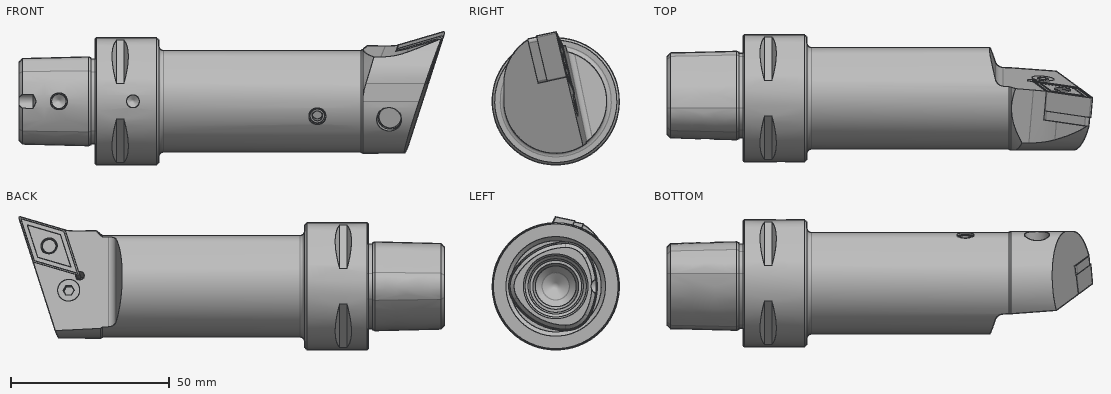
import cadquery as cq
import math


OVERALL_LENGTH = 134

SHANK_LENGTH = 24.0
FLAT_REACH = 13.1
LOBE_REACH = 14.9
FLAT_CENTRE_OFFSET = 6.7
LOBE_COUNT = 3
TAPER_RATIO = 1 / 20
SHANK_TAPER = math.degrees(math.atan(TAPER_RATIO / 2))
SHANK_END_CHAMFER = 1.2
NECK_LENGTH = 1.3
NECK_INSET = 0.7
NECK_CHAMFER_LENGTH = 0.7
END_NOTCH_RADIUS = 2.4
END_NOTCH_OFFSET = 13.5
END_NOTCH_LENGTH = 4.4
SHANK_HOLE_X = -11.4
SHANK_HOLE_RADIUS = 2.3
SHANK_HOLE_FLOOR = 11.5
SHANK_HOLE_RIM_RADIUS = 2.7
SHANK_HOLE_RIM_FLOOR = 12.7

MOUTH_RADIUS = 10.2
BORE_RADIUS = 9.6
STEP_RADIUS = 8.7
LEDGE_OUTER_RADIUS = 8.2
INNER_BORE_RADIUS = 7.2
END_CONE_RADIUS = 6.4
END_TIP_RADIUS = 4.3
INNER_CONE_LENGTH = 2.0
BORE_DEPTH = 4.0
STEP_DEPTH = 7.1
INNER_BORE_DEPTH = 24.0

FLANGE_RADIUS = 40.0 / 2
FLANGE_LENGTH = 20.1
FLANGE_FRONT_CHAMFER = 0.4
FLANGE_BACK_CHAMFER = 0.8
FACE_RECESS_RADIUS = 15.7
FACE_RECESS_DEPTH = 1.3
GRIP_GROOVE_X = 7.9
GRIP_GROOVE_FLOOR = 2.3
GRIP_GROOVE_DISTANCE = 17.5
GRIP_GROOVE_COUNT = 4
GRIP_WALL_ANGLE = 30
FLANGE_HOLE_X = 11.9
FLANGE_HOLE_RADIUS = 2.0
FLANGE_HOLE_DEPTH = 4.0

BAR_RADIUS = 32.0 / 2
BAR_FILLET = 1.5
HEAD_START = 84.3
HEAD_RADIUS = 16.3
HEAD_FLAT_HEIGHT = 5.6
COLLAR_LENGTH = 0.7
COLLAR_START = HEAD_START - COLLAR_LENGTH

NOSE_LOSS = 0.21
REACH = OVERALL_LENGTH - SHANK_LENGTH + NOSE_LOSS
TIP_HEIGHT = 22.1
RAKE_BACK = 0.085
RAKE_SIDE = 0.21
RAKE_START = 28.5
RAKE_RUNOUT = 2.7
RUNOUT_LEAN = 20
TOP_FLAT_DROP = 5.1
TOP_BLEND_RADIUS = 26.8
TOP_CLEARANCE = 0.4
END_RELIEF_ANGLE = 2

LEAD_ANGLE = 17.5
POINT_ANGLE = 55
EDGE_LENGTH = 15.5
NOSE_RADIUS = 0.4
INSERT_THICKNESS = 6.3
INSERT_HOLE_RADIUS = 2.5
BREAKER_LAND = 0.5
BREAKER_WIDTH = 1.3
BREAKER_DEPTH = 0.3
SHIM_THICKNESS = 3.0
SHIM_CORNER = 1.1
POCKET_RELIEF_RADIUS = 1.3

LOCK_PIN_RADIUS = 2.1
LOCK_PIN_SINK = 0.4
LOCK_PIN_LENGTH = 12.7
SCREW_X = -16.0
SCREW_Y = -24.1
SCREW_RADIUS = 3.5
SCREW_HOLE_RADIUS = 3.9
SCREW_LENGTH = 18.2
SCREW_SOCKET = 3.5
SCREW_SOCKET_DEPTH = 2.0
PLUG_X = 70.0
PLUG_ANGLE = 17.5
PLUG_RADIUS = 2.3
PLUG_RIM_RADIUS = 2.7
PLUG_INNER_END = 8.0
PLUG_OUTER_END = 15.3
PLUG_SOCKET_RADIUS = 1.6
PLUG_SOCKET_DEPTH = 2.0

DRILL_POINT_ANGLE = 118
DRILL_POINT_SLOPE = 1 / math.tan(math.radians(DRILL_POINT_ANGLE / 2))
OVERLAP = 1.3
FAR = 80.4

rake_length = math.hypot(RAKE_BACK, 1, RAKE_SIDE)
into_head = cq.Vector(-RAKE_BACK, -1, -RAKE_SIDE) / rake_length
along_rake = cq.Vector(1, 0, 0) - into_head * into_head.x
CUTTING_FRAME = cq.Plane((REACH, 0, TIP_HEIGHT), along_rake, into_head)


def polar(radius, degrees):
    angle = math.radians(degrees)
    return cq.Vector(radius * math.cos(angle), radius * math.sin(angle))


def revolved(points):
    """Solid of revolution about the bar axis from (X, radius) points."""
    return cq.Workplane("XZ").polyline(points).close().revolve(360, (0, 0, 0), (1, 0, 0))


def drilled_tool(plane, radius, depth):
    """Drill shape: a cylinder from the plane along its normal, with a conical point."""
    point = radius * DRILL_POINT_SLOPE
    outline = [(0, 0), (radius, 0), (radius, depth), (0, depth + point)]
    profile = cq.Workplane("XY").polyline(outline).close().revolve(360, (0, 0, 0), (0, 1, 0))
    upright = profile.rotate((0, 0, 0), (1, 0, 0), 90)
    return cq.Workplane(upright.val().located(plane.location))


def lobed_section(x, inset):
    """Rounded triangle across the axis at x, with one flat facing -Y."""
    pitch = 360 / LOBE_COUNT
    bulge = LOBE_REACH - FLAT_REACH
    lobe_centre = bulge * (2 * FLAT_CENTRE_OFFSET - bulge) / (FLAT_CENTRE_OFFSET - 2 * bulge)
    flat_radius = FLAT_REACH + FLAT_CENTRE_OFFSET - inset
    flat_centre = cq.Vector(-FLAT_CENTRE_OFFSET, 0)
    joint = flat_centre + (polar(lobe_centre, pitch / 2) - flat_centre).normalized() * flat_radius
    joint_angle = math.degrees(math.atan2(joint.y, joint.x))
    plane = cq.Plane((x, 0, 0), (0, -1, 0), (-1, 0, 0))
    section = cq.Workplane(plane).moveTo(joint.x, -joint.y)
    for number in range(LOBE_COUNT):
        turn = number * pitch
        section = section.threePointArc(
            polar(FLAT_REACH - inset, turn).toTuple()[:2],
            polar(joint.Length, turn + joint_angle).toTuple()[:2],
        )
        section = section.threePointArc(
            polar(LOBE_REACH - inset, turn + pitch / 2).toTuple()[:2],
            polar(joint.Length, turn + pitch - joint_angle).toTuple()[:2],
        )
    return section.close()


def make_shank():
    taper_length = SHANK_LENGTH - NECK_LENGTH
    taper = lobed_section(-NECK_LENGTH, 0).extrude(taper_length, taper=SHANK_TAPER)
    taper = taper.faces("<X").chamfer(SHANK_END_CHAMFER)
    taper = taper.faces(">X").chamfer(NECK_CHAMFER_LENGTH, NECK_INSET / 2)
    neck_length = FACE_RECESS_DEPTH + NECK_LENGTH + OVERLAP
    neck = lobed_section(FACE_RECESS_DEPTH, NECK_INSET).extrude(neck_length)
    return taper.union(neck)


def cut_shank_details(body):
    ledge_x = -SHANK_LENGTH + STEP_DEPTH
    inner_end = -SHANK_LENGTH + INNER_BORE_DEPTH
    cone_start = inner_end + INNER_CONE_LENGTH
    mouth_chamfer = MOUTH_RADIUS - BORE_RADIUS
    tip_start = cone_start + END_CONE_RADIUS - END_TIP_RADIUS
    bore = revolved([
        (-SHANK_LENGTH, 0),
        (-SHANK_LENGTH, MOUTH_RADIUS),
        (-SHANK_LENGTH + mouth_chamfer, BORE_RADIUS),
        (-SHANK_LENGTH + BORE_DEPTH, BORE_RADIUS),
        (-SHANK_LENGTH + BORE_DEPTH + BORE_RADIUS - STEP_RADIUS, STEP_RADIUS),
        (ledge_x - (STEP_RADIUS - LEDGE_OUTER_RADIUS), STEP_RADIUS),
        (ledge_x, LEDGE_OUTER_RADIUS),
        (ledge_x, INNER_BORE_RADIUS),
        (inner_end, INNER_BORE_RADIUS),
        (cone_start, END_CONE_RADIUS),
        (tip_start, END_TIP_RADIUS),
        (tip_start + END_TIP_RADIUS * DRILL_POINT_SLOPE, 0),
    ])
    notch_plane = cq.Plane((-SHANK_LENGTH, -END_NOTCH_OFFSET, 0), (0, 0, 1), (1, 0, 0))
    notch = drilled_tool(notch_plane, END_NOTCH_RADIUS, END_NOTCH_LENGTH)
    hole_plane = cq.Plane((SHANK_HOLE_X, -LOBE_REACH, 0), (0, 0, 1), (0, 1, 0))
    hole = drilled_tool(hole_plane, SHANK_HOLE_RADIUS, LOBE_REACH - SHANK_HOLE_FLOOR)
    rim = drilled_tool(hole_plane, SHANK_HOLE_RIM_RADIUS, LOBE_REACH - SHANK_HOLE_RIM_FLOOR)
    return body.cut(bore).cut(notch).cut(hole).cut(rim)


def make_flange():
    flange = revolved([
        (0, 0),
        (0, FLANGE_RADIUS - FLANGE_FRONT_CHAMFER),
        (FLANGE_FRONT_CHAMFER, FLANGE_RADIUS),
        (FLANGE_LENGTH - FLANGE_BACK_CHAMFER, FLANGE_RADIUS),
        (FLANGE_LENGTH, FLANGE_RADIUS - FLANGE_BACK_CHAMFER),
        (FLANGE_LENGTH, 0),
    ])
    recess = revolved([
        (0, 0),
        (0, FACE_RECESS_RADIUS),
        (FACE_RECESS_DEPTH, FACE_RECESS_RADIUS - FACE_RECESS_DEPTH),
        (FACE_RECESS_DEPTH, 0),
    ])
    flange = flange.cut(recess)
    rise = FLANGE_RADIUS - GRIP_GROOVE_DISTANCE + OVERLAP
    floor_half = GRIP_GROOVE_FLOOR / 2
    top_half = floor_half + rise * math.tan(math.radians(GRIP_WALL_ANGLE))
    groove = (
        cq.Workplane("XZ")
        .polyline([
            (GRIP_GROOVE_X - floor_half, GRIP_GROOVE_DISTANCE),
            (GRIP_GROOVE_X + floor_half, GRIP_GROOVE_DISTANCE),
            (GRIP_GROOVE_X + top_half, GRIP_GROOVE_DISTANCE + rise),
            (GRIP_GROOVE_X - top_half, GRIP_GROOVE_DISTANCE + rise),
        ])
        .close()
        .extrude(FLANGE_RADIUS, both=True)
    )
    for number in range(GRIP_GROOVE_COUNT):
        turn = (number + 0.5) * 360 / GRIP_GROOVE_COUNT
        flange = flange.cut(groove.rotate((0, 0, 0), (1, 0, 0), turn))
    hole_plane = cq.Plane((FLANGE_HOLE_X, -FLANGE_RADIUS, 0), (0, 0, 1), (0, 1, 0))
    return flange.cut(drilled_tool(hole_plane, FLANGE_HOLE_RADIUS, FLANGE_HOLE_DEPTH))


def make_bar():
    return (
        cq.Workplane("XZ")
        .moveTo(FLANGE_LENGTH, 0)
        .lineTo(FLANGE_LENGTH, BAR_RADIUS + BAR_FILLET)
        .radiusArc((FLANGE_LENGTH + BAR_FILLET, BAR_RADIUS), -BAR_FILLET)
        .lineTo(HEAD_START, BAR_RADIUS)
        .lineTo(HEAD_START, 0)
        .close()
        .revolve(360, (0, 0, 0), (1, 0, 0))
    )


def head_side_profile():
    """Side outline of the head in the cutting frame: flat top, blend, rising edge, end face."""
    edge = polar(1, LEAD_ANGLE)
    end = polar(FAR, LEAD_ANGLE + POINT_ANGLE)
    start = cq.Vector(0, -TOP_CLEARANCE / math.cos(math.radians(LEAD_ANGLE)))
    corner = start + edge * ((-TOP_FLAT_DROP - start.y) / edge.y)
    tangent = TOP_BLEND_RADIUS * math.tan(math.radians(LEAD_ANGLE / 2))
    blend_start = corner - cq.Vector(tangent, 0)
    blend_end = corner + edge * tangent
    nose = end * (TOP_CLEARANCE / math.sin(math.radians(POINT_ANGLE)) / FAR)
    return (
        cq.Workplane(CUTTING_FRAME)
        .moveTo(-FAR, -TOP_FLAT_DROP)
        .lineTo(blend_start.x, blend_start.y)
        .radiusArc((blend_end.x, blend_end.y), -TOP_BLEND_RADIUS)
        .lineTo(-nose.x, -nose.y)
        .lineTo(-end.x, -end.y)
        .lineTo(-FAR, -end.y)
        .close()
    )


def end_relief():
    """Wedge in front of the relieved end face, with its edge on the rake face."""
    end = polar(1, LEAD_ANGLE + POINT_ANGLE)
    along_end = CUTTING_FRAME.xDir * end.x + CUTTING_FRAME.yDir * end.y
    outward = CUTTING_FRAME.zDir.cross(along_end) * -1
    wedge_plane = cq.Plane(CUTTING_FRAME.origin, outward, along_end)
    lean = FAR * math.tan(math.radians(END_RELIEF_ANGLE))
    inward_sign = math.copysign(1, wedge_plane.yDir.dot(CUTTING_FRAME.zDir))
    outline = [(0, 0), (-lean, inward_sign * FAR), (FAR, inward_sign * FAR), (FAR, 0)]
    return cq.Workplane(wedge_plane).polyline(outline).close().extrude(FAR, both=True)


def make_head():
    section = (
        cq.Workplane("YZ", origin=(COLLAR_START, 0, 0))
        .moveTo(-HEAD_RADIUS, 0)
        .lineTo(-HEAD_RADIUS, HEAD_FLAT_HEIGHT)
        .threePointArc((0, HEAD_RADIUS + HEAD_FLAT_HEIGHT), (HEAD_RADIUS, HEAD_FLAT_HEIGHT))
        .lineTo(HEAD_RADIUS, 0)
        .threePointArc((0, -HEAD_RADIUS), (-HEAD_RADIUS, 0))
        .close()
        .extrude(REACH - COLLAR_START)
    )
    flare = 2 * HEAD_RADIUS
    envelope = revolved([
        (COLLAR_START, 0),
        (COLLAR_START, BAR_RADIUS),
        (HEAD_START, HEAD_RADIUS),
        (HEAD_START + flare, HEAD_RADIUS + flare),
        (HEAD_START + flare, 0),
    ])
    head = section.intersect(envelope).intersect(head_side_profile().extrude(FAR, both=True))
    return head.cut(end_relief())


def cut_rake_face(body):
    """Clears everything beside the rake face, back to a rounded run-out."""
    runout_plane = cq.Plane(CUTTING_FRAME.origin, CUTTING_FRAME.xDir, CUTTING_FRAME.yDir)
    wall_start = cq.Vector(-RAKE_START, RAKE_RUNOUT) + polar(RAKE_RUNOUT, 180 + RUNOUT_LEAN)
    wall_end = wall_start + polar(FAR, 90 + RUNOUT_LEAN)
    clearance = (
        cq.Workplane(runout_plane)
        .moveTo(FAR, 0)
        .lineTo(-RAKE_START, 0)
        .radiusArc((wall_start.x, wall_start.y), RAKE_RUNOUT)
        .lineTo(wall_end.x, wall_end.y)
        .lineTo(FAR, FAR)
        .close()
        .extrude(FAR, both=True)
    )
    return body.cut(clearance)


def rhombus(inset, depth):
    """Rhombus outline with its sharp corner at the tip, inset evenly, at a depth below the rake."""
    edge = polar(1, 180 + LEAD_ANGLE)
    end = polar(1, 180 + LEAD_ANGLE + POINT_ANGLE)
    near = inset / math.sin(math.radians(POINT_ANGLE))
    far = EDGE_LENGTH - near
    corners = [
        edge * near + end * near,
        edge * far + end * near,
        edge * far + end * far,
        edge * near + end * far,
    ]
    plane = cq.Workplane(CUTTING_FRAME).workplane(offset=depth)
    return plane.polyline([(corner.x, corner.y) for corner in corners]).close()


def plate_centre():
    return (
        polar(EDGE_LENGTH / 2, 180 + LEAD_ANGLE)
        + polar(EDGE_LENGTH / 2, 180 + LEAD_ANGLE + POINT_ANGLE)
    )


def frame_cylinder(centre, radius, start, length):
    """Cylinder square to the rake face, starting at a depth below it."""
    plane = cq.Workplane(CUTTING_FRAME).workplane(offset=start)
    return plane.center(centre.x, centre.y).circle(radius).extrude(length)


def make_insert():
    plate = rhombus(0, 0).extrude(INSERT_THICKNESS)
    along_depth = cq.selectors.ParallelDirSelector(CUTTING_FRAME.zDir)
    plate = plate.edges(along_depth).fillet(NOSE_RADIUS)
    breaker = rhombus(BREAKER_LAND, 0).extrude(BREAKER_DEPTH)
    plateau = rhombus(BREAKER_LAND + BREAKER_WIDTH, 0).extrude(BREAKER_DEPTH)
    hole = frame_cylinder(plate_centre(), INSERT_HOLE_RADIUS, 0, INSERT_THICKNESS)
    return plate.cut(breaker.cut(plateau)).cut(hole)


def make_shim():
    plate = rhombus(0, INSERT_THICKNESS).extrude(SHIM_THICKNESS)
    along_depth = cq.selectors.ParallelDirSelector(CUTTING_FRAME.zDir)
    plate = plate.edges(along_depth).fillet(SHIM_CORNER)
    hole = frame_cylinder(plate_centre(), INSERT_HOLE_RADIUS, INSERT_THICKNESS, SHIM_THICKNESS)
    return plate.cut(hole)


def cut_insert_pocket(body):
    depth = INSERT_THICKNESS + SHIM_THICKNESS
    pocket = rhombus(0, 0).extrude(depth)
    relief = frame_cylinder(plate_centre() * 2, POCKET_RELIEF_RADIUS, 0, depth)
    pin_hole = frame_cylinder(plate_centre(), LOCK_PIN_RADIUS, 0, LOCK_PIN_SINK + LOCK_PIN_LENGTH)
    return body.cut(pocket).cut(relief).cut(pin_hole)


def make_lock_pin():
    return frame_cylinder(plate_centre(), LOCK_PIN_RADIUS, LOCK_PIN_SINK, LOCK_PIN_LENGTH)


def make_clamp_screw():
    centre = cq.Vector(SCREW_X, SCREW_Y)
    screw = frame_cylinder(centre, SCREW_RADIUS, 0, SCREW_LENGTH)
    socket = (
        cq.Workplane(CUTTING_FRAME)
        .center(SCREW_X, SCREW_Y)
        .polygon(6, SCREW_SOCKET)
        .extrude(SCREW_SOCKET_DEPTH)
    )
    return screw.cut(socket)


def cut_screw_hole(body):
    centre = cq.Vector(SCREW_X, SCREW_Y)
    threaded = frame_cylinder(centre, SCREW_RADIUS, 0, SCREW_LENGTH)
    exit_hole = frame_cylinder(centre, SCREW_HOLE_RADIUS, SCREW_LENGTH, FAR)
    return body.cut(threaded).cut(exit_hole)


def plug_cylinder(radius, inner, outer):
    """Cylinder on the plug axis between two distances from the bar axis."""
    plane = cq.Plane((PLUG_X, 0, 0), (1, 0, 0), (0, -1, 0))
    upright = cq.Workplane(plane).workplane(offset=inner).circle(radius).extrude(outer - inner)
    return upright.rotate((0, 0, 0), (1, 0, 0), PLUG_ANGLE)


def make_plug():
    plug = plug_cylinder(PLUG_RADIUS, PLUG_INNER_END, PLUG_OUTER_END)
    socket = plug_cylinder(PLUG_SOCKET_RADIUS, PLUG_OUTER_END - PLUG_SOCKET_DEPTH, PLUG_OUTER_END)
    return plug.cut(socket)


def cut_plug_hole(body):
    seat = plug_cylinder(PLUG_RADIUS, PLUG_INNER_END, PLUG_OUTER_END)
    rim = plug_cylinder(PLUG_RIM_RADIUS, PLUG_OUTER_END, FLANGE_RADIUS)
    return body.cut(seat).cut(rim)


def make_holder():
    holder = make_flange().union(make_shank()).union(make_bar()).union(make_head())
    holder = cut_shank_details(holder)
    holder = cut_rake_face(holder)
    holder = cut_insert_pocket(holder)
    holder = cut_screw_hole(holder)
    return cut_plug_hole(holder)


holder = make_holder()
insert = make_insert()
shim = make_shim()
lock_pin = make_lock_pin()
clamp_screw = make_clamp_screw()
plug = make_plug()

result = cq.Compound.makeCompound([
    holder.val(),
    insert.val(),
    shim.val(),
    lock_pin.val(),
    clamp_screw.val(),
    plug.val(),
])